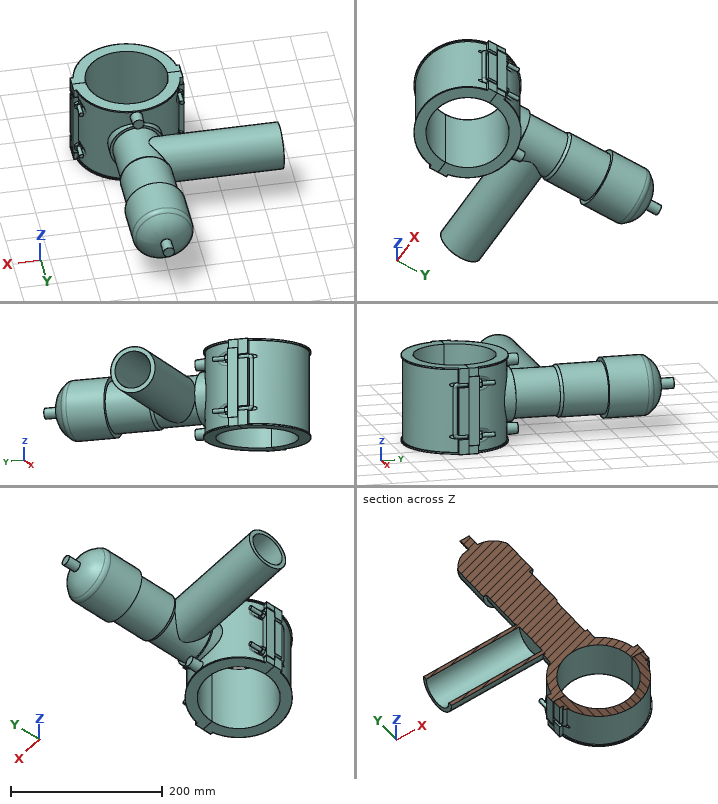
import cadquery as cq
import math


overall_x = 261.0
overall_y = 369.8

height = 118.0
bore_diameter = 110.0
bore_radius = bore_diameter / 2
saddle_radius = 69.0
rim_radius = 71.0
rim_height = 2.2

ear_reach = 73.5
ear_thickness = 13.3
pad_reach = 74.7
pad_thickness = 14.5
pad_height = 94.5
ear_root = 59.0

bolt_diameter = 6.0
bolt_radius = bolt_diameter / 2
bolt_spacing = 135.7
bolt_x = bolt_spacing / 2
bolt_leg_z = 35.5
bolt_tip_y = 37.0
bolt_bar_y = -17.0
bend_radius = 3.15
slot_bottom_y = -34.8
nut_across_flats = 10.0
nut_height = 4.5
nut_pocket_radius = 6.3
nut_pocket_fillet = 5.0

tower_base = 47.7
collar_diameter = 73.2
collar_top = 74.7
neck_diameter = 66.0
neck_top = 136.0
barrel_diameter = 70.5
barrel_bottom = 140.0
cap_diameter = 81.5
cap_bottom = 201.5
cap_side_top = 255.0
shoulder_radius = 37.7
shoulder_top = 263.0
shoulder_mid_radius = 40.0
shoulder_mid_y = 259.5
dome_mid_radius = 25.0
dome_mid_y = 275.0
dome_top = 280.0
stem_diameter = 14.8
top_y = overall_y - rim_radius

outlet_end_x = pad_reach - overall_x
outlet_y = 106.5
outlet_diameter = 63.0
outlet_bore_diameter = 50.3

peg_tip_diameter = 14.8
peg_base_diameter = 17.0
peg_tip_y = 85.5
peg_base_y = 64.7
peg_z = 47.5

SIDES = (-1, 1)


def span_box(x0, x1, y0, y1, size_z):
    """Box between the given X and Y limits, centred on Z = 0."""
    return cq.Workplane("XY").box(x1 - x0, y1 - y0, size_z).translate(((x0 + x1) / 2, (y0 + y1) / 2, 0))


def rod_y(x, z, diameter, y0, y1):
    """Round rod parallel to Y."""
    axis_start = cq.Vector(x, y0, z)
    return cq.Workplane(cq.Solid.makeCylinder(diameter / 2, y1 - y0, axis_start, cq.Vector(0, 1, 0)))


def disc_z(radius, size_z, z_centre=0):
    """Round disc around the pipe axis."""
    return cq.Workplane("XY").circle(radius).extrude(size_z).translate((0, 0, z_centre - size_z / 2))


def half_of(body, side):
    """The part of a body on the +Y or -Y side of the parting plane."""
    y0 = min(0, side * pad_reach)
    y1 = max(0, side * pad_reach)
    return body.intersect(span_box(-pad_reach, pad_reach, y0, y1, height))


def saddle_rims(side):
    """Slightly raised rims at both ends of a saddle half."""
    rim_z = (height - rim_height) / 2
    rims = disc_z(rim_radius, rim_height, rim_z).union(disc_z(rim_radius, rim_height, -rim_z))
    return half_of(rims, side)


def bolt_legs(diameter, y0, y1):
    """Four rods on the axes of the U-bolt legs."""
    legs = cq.Workplane()
    for x_side in SIDES:
        for z_side in SIDES:
            legs = legs.add(rod_y(x_side * bolt_x, z_side * bolt_leg_z, diameter, y0, y1))
    return legs.combine()


def ears(side, reach, thickness, size_z):
    """Pair of clamping ears on one side of the parting plane."""
    y0 = min(0, side * thickness)
    y1 = max(0, side * thickness)
    return span_box(-reach, -ear_root, y0, y1, size_z).union(span_box(ear_root, reach, y0, y1, size_z))


def tower():
    """Revolved valve tower: collar, neck, barrel, domed cap and stem."""
    stem_radius = stem_diameter / 2
    return (
        cq.Workplane("XY")
        .moveTo(0, tower_base)
        .lineTo(collar_diameter / 2, tower_base)
        .lineTo(collar_diameter / 2, collar_top)
        .lineTo(neck_diameter / 2, collar_top)
        .lineTo(neck_diameter / 2, neck_top)
        .lineTo(barrel_diameter / 2, barrel_bottom)
        .lineTo(barrel_diameter / 2, cap_bottom)
        .lineTo(cap_diameter / 2, cap_bottom)
        .lineTo(cap_diameter / 2, cap_side_top)
        .threePointArc((shoulder_mid_radius, shoulder_mid_y), (shoulder_radius, shoulder_top))
        .threePointArc((dome_mid_radius, dome_mid_y), (stem_radius, dome_top))
        .lineTo(stem_radius, top_y)
        .lineTo(0, top_y)
        .close()
        .revolve(360, (0, 0), (0, 1))
    )


def pipe_x(diameter, x_end):
    """Round bar along X from the open end of the outlet to x_end."""
    start = cq.Vector(outlet_end_x, outlet_y, 0)
    return cq.Workplane(cq.Solid.makeCylinder(diameter / 2, x_end - outlet_end_x, start, cq.Vector(1, 0, 0)))


def peg(z):
    """Peg tapering towards its tip in +Y."""
    base = cq.Vector(0, peg_base_y, z)
    length = peg_tip_y - peg_base_y
    cone = cq.Solid.makeCone(peg_base_diameter / 2, peg_tip_diameter / 2, length, base, cq.Vector(0, 1, 0))
    return cq.Workplane(cone)


def pocketed_saddle():
    """Saddle cylinder with round-edged channels that make room for the nuts.

    The channels pass both ends of Y, so that each rounded edge is a closed loop.
    """
    body = disc_z(saddle_radius, height)
    body = body.cut(bolt_legs(2 * nut_pocket_radius, -saddle_radius, saddle_radius))
    channel_edges = body.edges("not (%LINE or %CIRCLE)")
    return channel_edges.fillet(nut_pocket_fillet)


def make_upper_half():
    """Upper saddle half with valve tower, outlet and pegs."""
    body = half_of(pocketed_saddle(), 1)
    body = body.union(saddle_rims(1))
    body = body.union(ears(1, ear_reach, ear_thickness, height))
    body = body.union(ears(1, pad_reach, pad_thickness, pad_height))
    body = body.union(tower())
    body = body.union(pipe_x(outlet_diameter, 0))
    body = body.cut(pipe_x(outlet_bore_diameter, -neck_diameter / 2))
    for side in SIDES:
        body = body.union(peg(side * peg_z))
    body = body.cut(disc_z(bore_radius, height))
    return body.cut(bolt_legs(bolt_diameter, 0, bolt_tip_y))


def bolt_slots():
    """Slots open to the outer side of the lower ears, rounded around the bolt legs."""
    slots = bolt_legs(bolt_diameter, slot_bottom_y, 0)
    for x_side in SIDES:
        for z_side in SIDES:
            x0 = min(x_side * bolt_x, x_side * pad_reach)
            x1 = max(x_side * bolt_x, x_side * pad_reach)
            opening = span_box(x0, x1, slot_bottom_y, 0, bolt_diameter)
            slots = slots.union(opening.translate((0, 0, z_side * bolt_leg_z)))
    return slots


def u_bolt(x):
    """U-bolt swept along two legs, two tight bends and a bar parallel to Z."""
    bend_y = bolt_bar_y + bend_radius
    bend_z = bolt_leg_z - bend_radius
    on_arc = bend_radius * math.sqrt(0.5)
    path = (
        cq.Workplane("YZ", origin=(x, 0, 0))
        .moveTo(bolt_tip_y, bolt_leg_z)
        .lineTo(bend_y, bolt_leg_z)
        .threePointArc((bend_y - on_arc, bend_z + on_arc), (bolt_bar_y, bend_z))
        .lineTo(bolt_bar_y, -bend_z)
        .threePointArc((bend_y - on_arc, -bend_z - on_arc), (bend_y, -bolt_leg_z))
        .lineTo(bolt_tip_y, -bolt_leg_z)
    )
    tip = cq.Workplane("XZ", origin=(x, bolt_tip_y, bolt_leg_z))
    return tip.circle(bolt_radius).sweep(path)


def nut(x, z):
    """Hexagonal nut resting on the pad, with two flats square to X."""
    across_corners = nut_across_flats / math.cos(math.pi / 6)
    blank = cq.Workplane("XZ").polygon(6, across_corners).extrude(-nut_height)
    return blank.rotate((0, 0, 0), (0, 1, 0), 30).translate((x, pad_thickness, z))


def make_lower_half():
    """Lower saddle half together with the U-bolts seated in it and their nuts."""
    body = half_of(disc_z(saddle_radius, height), -1).union(saddle_rims(-1))
    body = body.union(ears(-1, ear_reach, ear_thickness, height))
    body = body.cut(disc_z(bore_radius, height)).cut(bolt_slots())
    for x_side in SIDES:
        x = x_side * bolt_x
        body = body.union(u_bolt(x))
        for z_side in SIDES:
            body = body.union(nut(x, z_side * bolt_leg_z))
    return body


upper_half = make_upper_half().solids()
lower_half = make_lower_half().solids()
result = cq.Compound.makeCompound([upper_half.val(), lower_half.val()])